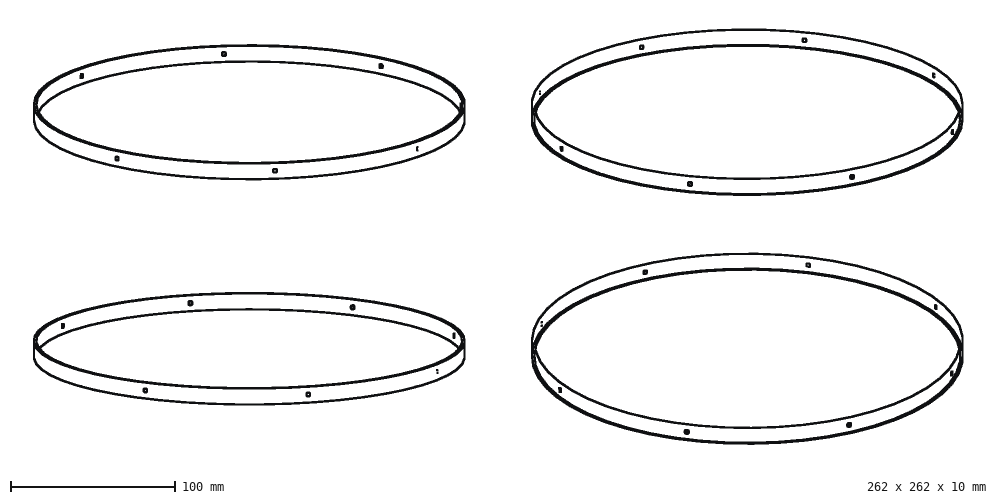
import cadquery as cq

outer_diameter = 262.0
inner_diameter = 258.9
height = 10.0
hole_diameter = 2.44
hole_count = 8
skin_thickness = 0.8


def ring_band():
    return (
        cq.Workplane("XY")
        .circle(outer_diameter / 2)
        .circle(inner_diameter / 2)
        .extrude(height)
    )


def radial_drill(angle):
    """Cylinder from the ring axis to the hole floor, at mid-height."""
    return (
        cq.Workplane("YZ")
        .center(0, height / 2)
        .circle(hole_diameter / 2)
        .extrude(outer_diameter / 2 - skin_thickness)
        .rotate((0, 0, 0), (0, 0, 1), angle)
    )


result = ring_band()
for index in range(hole_count):
    result = result.cut(radial_drill(index * 360 / hole_count))